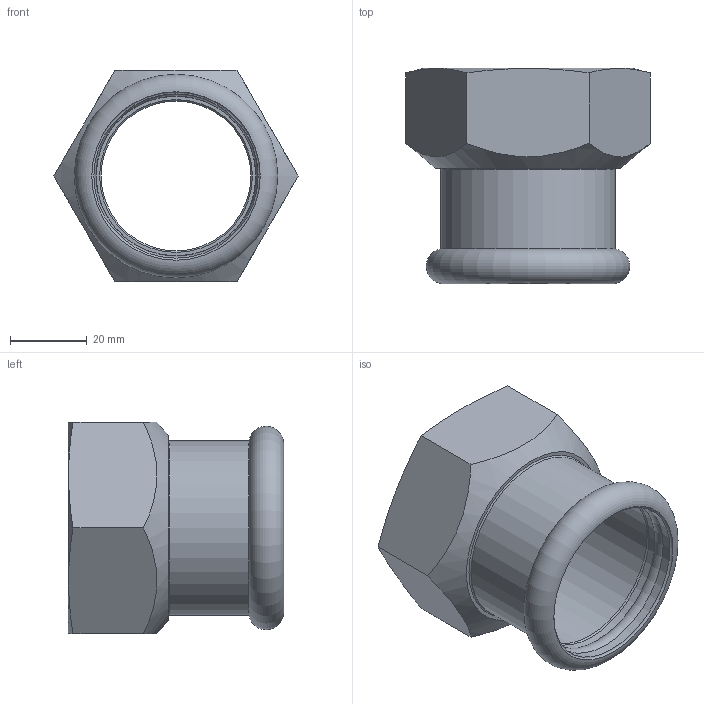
import cadquery as cq
import math


total_length = 56.0
hex_start = 30.0
hex_flats = 55.0
hex_corners = hex_flats / math.cos(math.pi / 6)
front_cone_diameter = 48.1
front_cone_angle = 40.0
rear_chamfer_diameter = 54.5
rear_chamfer_angle = 15.0
cone_overrun = 1.0

neck_diameter = 45.4
neck_fillet = 0.4
bead_diameter = 52.9
bead_radius = 4.55
bead_center_radius = bead_diameter / 2 - bead_radius

mouth_diameter = 2 * bead_center_radius
lip_bore_diameter = 42.7
lip_rounding = (mouth_diameter - lip_bore_diameter) / 2
seal_inner_diameter = 41.8
seal_width = 3.0
socket_taper_start = 8.2
socket_taper_length = 0.6
socket_diameter = 42.4
shoulder_position = 32.0
shoulder_fillet = 0.45

end_bore_diameter = 38.95
end_bore_chamfer = 0.4


def revolve_about_axis(outline):
    """Turn a closed (radius, y) outline about the Y axis."""
    return outline.close().revolve(360, (0, 0, 0), (0, 1, 0))


def make_hexagon():
    """Hexagon with corners on +-X, both ends turned down to cones."""
    length = total_length - hex_start
    prism = (
        cq.Workplane("XZ", origin=(0, total_length, 0))
        .polygon(6, hex_corners)
        .extrude(length)
    )
    outer_radius = hex_corners / 2 + cone_overrun
    front_radius = front_cone_diameter / 2
    rear_radius = rear_chamfer_diameter / 2
    front_run = (outer_radius - front_radius) * math.tan(math.radians(front_cone_angle))
    rear_run = (outer_radius - rear_radius) * math.tan(math.radians(rear_chamfer_angle))
    envelope = revolve_about_axis(
        cq.Workplane("XY")
        .moveTo(0, hex_start)
        .lineTo(front_radius, hex_start)
        .lineTo(outer_radius, hex_start + front_run)
        .lineTo(outer_radius, total_length - rear_run)
        .lineTo(rear_radius, total_length)
        .lineTo(0, total_length)
    )
    return prism.intersect(envelope)


def make_neck():
    """Neck with a rounded bead at the mouth and a fillet against the hexagon."""
    neck_radius = neck_diameter / 2
    neck_offset = neck_radius - bead_center_radius
    bead_end = bead_radius + math.sqrt(bead_radius**2 - neck_offset**2)
    return revolve_about_axis(
        cq.Workplane("XY")
        .moveTo(0, 0)
        .lineTo(bead_center_radius, 0)
        .threePointArc((bead_diameter / 2, bead_radius), (neck_radius, bead_end))
        .lineTo(neck_radius, hex_start - neck_fillet)
        .radiusArc((neck_radius + neck_fillet, hex_start), neck_fillet)
        .lineTo(0, hex_start)
    )


def make_bore():
    """Stepped through bore: rounded lip, seal bulge, tube socket, shoulder, end bore."""
    lip_radius = lip_bore_diameter / 2
    socket_radius = socket_diameter / 2
    end_radius = end_bore_diameter / 2
    seal_start = bead_radius - seal_width / 2
    seal_end = bead_radius + seal_width / 2
    return revolve_about_axis(
        cq.Workplane("XY")
        .moveTo(0, 0)
        .lineTo(mouth_diameter / 2, 0)
        .radiusArc((lip_radius, lip_rounding), -lip_rounding)
        .lineTo(lip_radius, seal_start)
        .threePointArc((seal_inner_diameter / 2, bead_radius), (lip_radius, seal_end))
        .lineTo(lip_radius, socket_taper_start)
        .lineTo(socket_radius, socket_taper_start + socket_taper_length)
        .lineTo(socket_radius, shoulder_position - shoulder_fillet)
        .radiusArc((socket_radius - shoulder_fillet, shoulder_position), -shoulder_fillet)
        .lineTo(end_radius + end_bore_chamfer, shoulder_position)
        .lineTo(end_radius, shoulder_position + end_bore_chamfer)
        .lineTo(end_radius, total_length)
        .lineTo(0, total_length)
    )


result = make_hexagon().union(make_neck()).cut(make_bore())